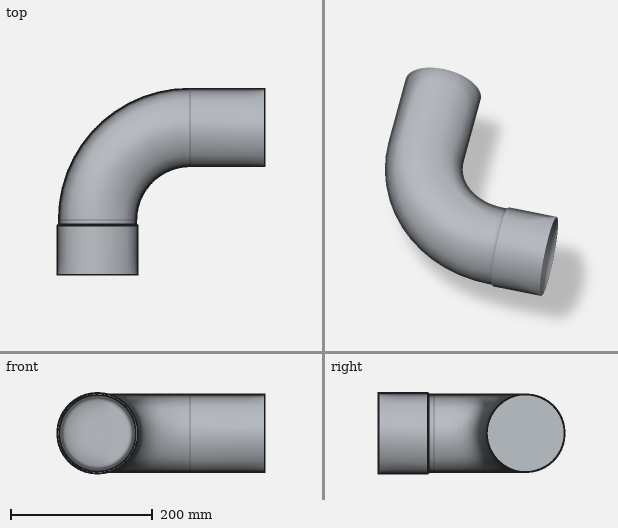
import cadquery as cq

length_x = 293.0
length_y = 263.0

pipe_diameter = 110.0
socket_diameter = 114.0
bore_diameter = 108.0

bend_radius = 130.0
socket_length = 71.5
bore_depth = 69.5

shoulder = (socket_diameter - pipe_diameter) / 2
inlet_length = length_y - bend_radius - pipe_diameter / 2
outlet_length = length_x - bend_radius - socket_diameter / 2


def make_pipe():
    """Solid 90 degree elbow that starts along +Y and leaves along +X."""
    centreline = (
        cq.Workplane("XY")
        .lineTo(0, inlet_length)
        .radiusArc((bend_radius, inlet_length + bend_radius), bend_radius)
        .lineTo(bend_radius + outlet_length, inlet_length + bend_radius)
    )
    return cq.Workplane("XZ").circle(pipe_diameter / 2).sweep(centreline)


def make_socket():
    """Wider sleeve at the inlet, chamfered down to the pipe at its inner end."""
    return (
        cq.Workplane("XZ")
        .circle(socket_diameter / 2)
        .extrude(-socket_length)
        .faces(">Y")
        .chamfer(shoulder)
    )


def make_bore():
    """Blind flat-bottomed bore in the inlet face."""
    return cq.Workplane("XZ").circle(bore_diameter / 2).extrude(-bore_depth)


result = make_pipe().union(make_socket()).cut(make_bore())